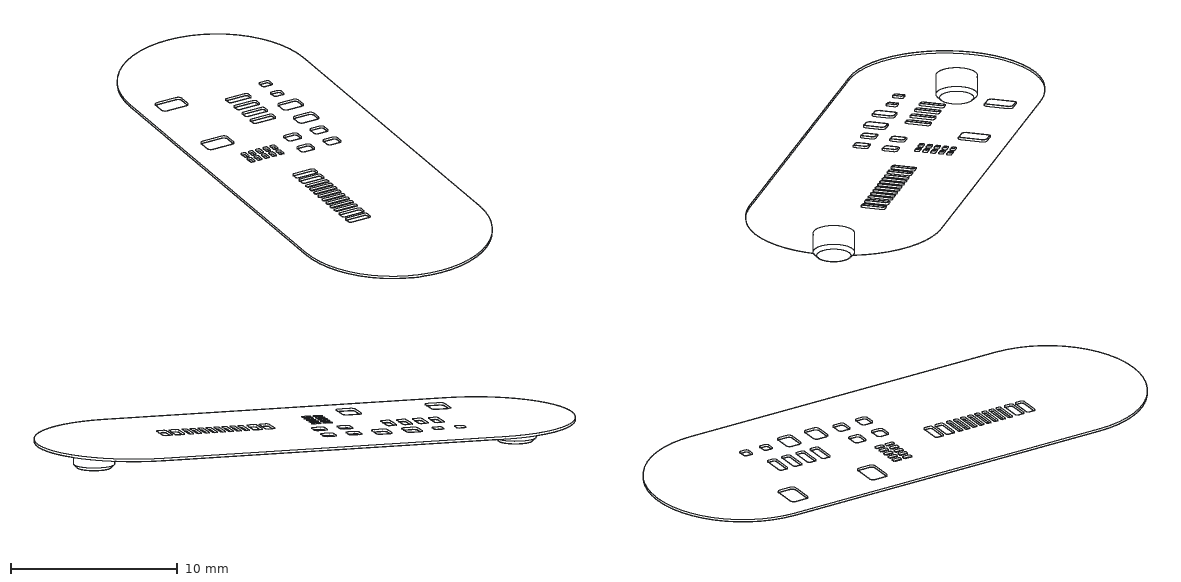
import cadquery as cq

total_height = 1.6

plate_length = 33.5
plate_width = 12.0
plate_thickness = 0.16

peg_diameter = 2.5
peg_height = total_height - plate_thickness
peg_chamfer = 0.22
peg_spacing = 26.5

corner_ratio = 0.25
corner_limit = 0.25

diode_pad = (0.6, 0.7)
diode_spacing = 1.4
diode_center = (-8.34, 2.4)

capacitor_pad = (1.0, 1.4)
capacitor_spacing = 1.9
capacitor_center = (-5.05, 2.4)

resistor_pad = (0.8, 0.95)
resistor_spacing = 1.6
resistor_x = -1.57
resistor_rows_y = (2.32, 0.5)

connector_x = -6.75
connector_pin_pad = (0.6, 1.55)
connector_pin_count = 4
connector_pin_pitch = 1.0
connector_pin_y = 0.075
anchor_pad = (1.2, 1.8)
anchor_spacing = 5.6
anchor_drop = 3.875
anchor_y = connector_pin_y - anchor_drop

chip_pad = (0.55, 0.3)
chip_center = (-1.43, -2.11)
chip_column_spacing = 0.725
chip_row_count = 5
chip_row_pitch = 0.5

socket_center = (5.25, -1.11)
signal_pad = (0.3, 1.5)
signal_count = 8
signal_pitch = 0.5
power_pad = (0.6, 1.5)
power_spacings = (4.9, 6.45)


def row_positions(count, pitch):
    """Offsets of equally spaced items, centred on zero."""
    return [(i - (count - 1) / 2) * pitch for i in range(count)]


def apertures(pad, centers):
    """Rounded rectangular cutters through the plate at the given centres."""
    width, height = pad
    corner_radius = min(corner_ratio * min(pad), corner_limit)
    return (
        cq.Workplane("XY")
        .pushPoints(centers)
        .rect(width, height)
        .extrude(plate_thickness)
        .edges("|Z")
        .fillet(corner_radius)
    )


def aperture_row(pad, center, count, pitch):
    """A row of equal apertures along X."""
    center_x, center_y = center
    return apertures(pad, [(center_x + dx, center_y) for dx in row_positions(count, pitch)])


def aperture_pair(pad, center, spacing):
    """Two equal apertures side by side along X."""
    return aperture_row(pad, center, 2, spacing)


def make_plate():
    return cq.Workplane("XY").slot2D(plate_length, plate_width).extrude(plate_thickness)


def make_pegs():
    return (
        cq.Workplane("XY")
        .pushPoints([(x, 0) for x in row_positions(2, peg_spacing)])
        .circle(peg_diameter / 2)
        .extrude(-peg_height)
        .faces("<Z")
        .chamfer(peg_chamfer)
    )


def two_terminal_cutters():
    cutters = [
        aperture_pair(diode_pad, diode_center, diode_spacing),
        aperture_pair(capacitor_pad, capacitor_center, capacitor_spacing),
    ]
    for y in resistor_rows_y:
        cutters.append(aperture_pair(resistor_pad, (resistor_x, y), resistor_spacing))
    return cutters


def connector_cutters():
    pin_center = (connector_x, connector_pin_y)
    return [
        aperture_row(connector_pin_pad, pin_center, connector_pin_count, connector_pin_pitch),
        aperture_pair(anchor_pad, (connector_x, anchor_y), anchor_spacing),
    ]


def chip_cutters():
    center_x, center_y = chip_center
    return [
        aperture_pair(chip_pad, (center_x, center_y + dy), chip_column_spacing)
        for dy in row_positions(chip_row_count, chip_row_pitch)
    ]


def socket_cutters():
    cutters = [aperture_row(signal_pad, socket_center, signal_count, signal_pitch)]
    for spacing in power_spacings:
        cutters.append(aperture_pair(power_pad, socket_center, spacing))
    return cutters


result = make_plate().union(make_pegs())
for cutter in two_terminal_cutters() + connector_cutters() + chip_cutters() + socket_cutters():
    result = result.cut(cutter)